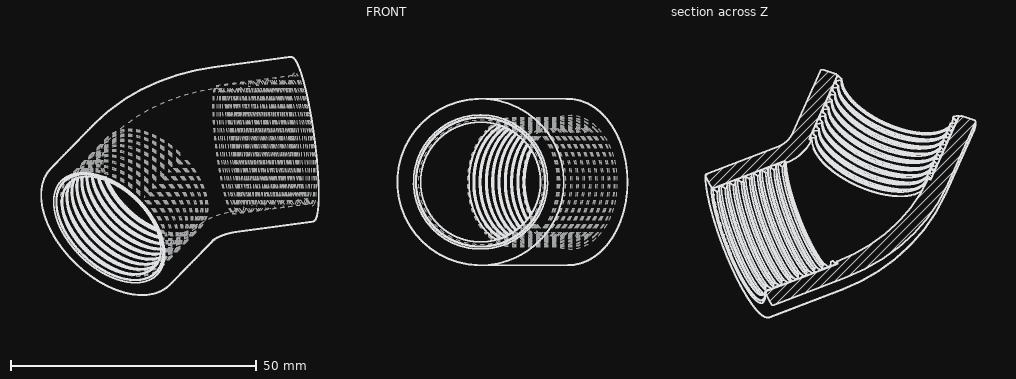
import cadquery as cq
import math


outer_diameter = 34.0
bend_bore_diameter = 25.4
socket_length = 16.3
bend_radius = 22.6
bend_angle = 45.0
rim_fillet = 0.45
socket_bore_diameter = 26.45
mouth_chamfer = 0.45

thread_root_diameter = 26.25
thread_crest_diameter = 24.45
thread_pitch = 1.815
thread_flank_angle = 27.5
ridge_count = 9
thread_depth = (thread_root_diameter - thread_crest_diameter) / 2
thread_flat = thread_pitch / 2 - thread_depth * math.tan(math.radians(thread_flank_angle))
ridge_base_width = thread_pitch - thread_flat
sleeve_length = (ridge_count - 1) * thread_pitch + ridge_base_width
sleeve_start = (socket_length - sleeve_length) / 2

bend_angle_rad = math.radians(bend_angle)
outlet_direction = cq.Vector(math.sin(bend_angle_rad), math.cos(bend_angle_rad), 0)
bend_end = cq.Vector(
    bend_radius * (1 - math.cos(bend_angle_rad)),
    bend_radius * math.sin(bend_angle_rad),
    0,
)

inlet_plane = cq.Plane(origin=(0, -socket_length, 0), xDir=(1, 0, 0), normal=(0, 1, 0))
outlet_plane = cq.Plane(
    origin=bend_end + outlet_direction * socket_length,
    xDir=(outlet_direction.y, -outlet_direction.x, 0),
    normal=outlet_direction * -1,
)
socket_planes = [inlet_plane, outlet_plane]


def make_bend(diameter):
    """Solid round bar bent around an axis parallel to Z."""
    return (
        cq.Workplane("XZ")
        .circle(diameter / 2)
        .revolve(bend_angle, (bend_radius, 0.55, 0), (bend_radius, -0.55, 0))
    )


def make_socket_blank(plane):
    """Solid cylinder with a rounded outer rim at its mouth."""
    return (
        cq.Workplane(plane)
        .circle(outer_diameter / 2)
        .extrude(socket_length)
        .faces(cq.selectors.DirectionMinMaxSelector(plane.zDir, False))
        .edges()
        .fillet(rim_fillet)
    )


def make_socket_bore(plane):
    """Cutter for a socket bore with a chamfered mouth."""
    bore_radius = socket_bore_diameter / 2
    bore = cq.Workplane(plane).circle(bore_radius).extrude(socket_length)
    chamfer = cq.Solid.makeCone(
        bore_radius + mouth_chamfer, bore_radius, mouth_chamfer, plane.origin, plane.zDir
    )
    return bore.union(cq.Workplane(chamfer))


def make_elbow():
    """Bent pipe body with a plain bored socket at each end."""
    elbow = make_bend(outer_diameter)
    for plane in socket_planes:
        elbow = elbow.union(make_socket_blank(plane))
    elbow = elbow.cut(make_bend(bend_bore_diameter))
    for plane in socket_planes:
        elbow = elbow.cut(make_socket_bore(plane))
    return elbow


def make_thread_sleeve(plane):
    """Thin sleeve lining a socket bore, with evenly spaced ring ridges inside."""
    outer_radius = socket_bore_diameter / 2
    root_radius = thread_root_diameter / 2
    crest_radius = thread_crest_diameter / 2
    sleeve_end = sleeve_start + sleeve_length
    profile = [(outer_radius, sleeve_end), (outer_radius, sleeve_start)]
    for ridge in range(ridge_count):
        crest_middle = sleeve_start + ridge_base_width / 2 + ridge * thread_pitch
        profile += [
            (root_radius, crest_middle - ridge_base_width / 2),
            (crest_radius, crest_middle - thread_flat / 2),
            (crest_radius, crest_middle + thread_flat / 2),
            (root_radius, crest_middle + ridge_base_width / 2),
        ]
    sleeve = cq.Workplane("XZ").polyline(profile).close().revolve(360, (0, 0), (0, 1))
    return sleeve.val().moved(cq.Location(plane))


elbow = make_elbow()
thread_sleeves = [make_thread_sleeve(plane) for plane in socket_planes]

result = cq.Compound.makeCompound([elbow.solids().val(), *thread_sleeves])